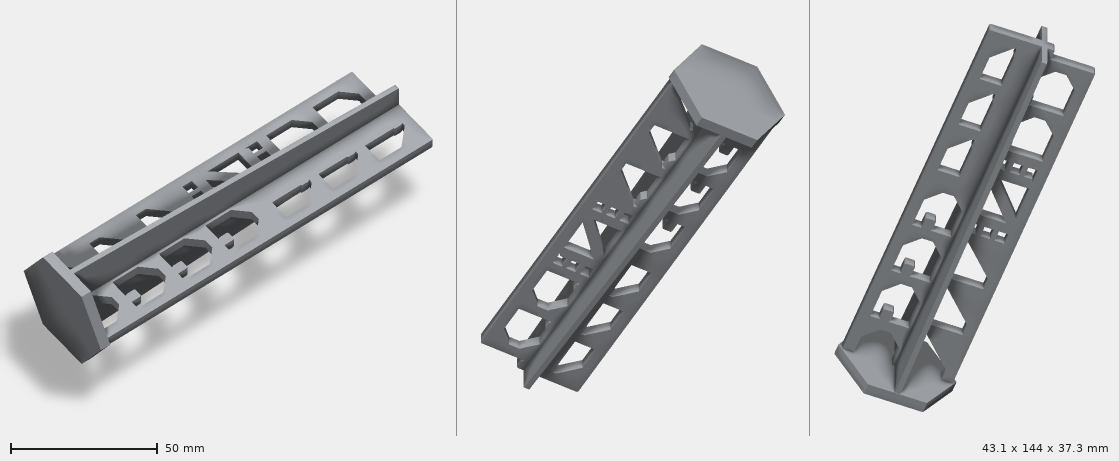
import cadquery as cq
import math

length = 144.0
cell = length / 36
pitch = 5 * cell

head_flats = 37.3
head_corners = head_flats * 2 / math.sqrt(3)
head_thickness = cell

wing_thickness = cell
wing_half_width = 5 * cell
left_wing_end = 35 * cell

fin_thickness = cell / 2
fin_tip_height = 22.0
fin_head_height = fin_tip_height + (head_flats - fin_tip_height) * (1 - head_thickness / length)

corner_cut = 0.5

window_inner = cell / 2
window_outer = 4 * cell
window_width = window_outer - window_inner
window_height = 4 * cell

tab_neck_height = 0.9
side_tab_reach = 3.7
side_tab_height = 3.6
floor_tab_left = 9.0
floor_tab_width = 3.7
floor_tab_height = 4.3

relief_width = 0.6
relief_depth = 1.2


def wing_prism(points):
    """Prism through the full wing thickness over an outline in X and Y."""
    outline = cq.Workplane("XY").workplane(offset=-wing_thickness / 2)
    return outline.polyline(points).close().extrude(wing_thickness)


def rectangle(x_min, x_max, y_min, y_max):
    return wing_prism([(x_min, y_min), (x_max, y_min), (x_max, y_max), (x_min, y_max)])


def arched_window(x_min, y_min, height):
    """Window with both far corners cut off at 45 degrees."""
    shoulder = 1.25 * cell
    x_max = x_min + window_width
    y_max = y_min + height
    return wing_prism([
        (x_min, y_min),
        (x_max, y_min),
        (x_max, y_max - shoulder),
        (x_max - shoulder, y_max),
        (x_min + shoulder, y_max),
        (x_min, y_max - shoulder),
    ])


def ramp_window(x_straight, x_ramp, y_min, height, ramp_start):
    """Window with one 45 degree side, cutting the corner at x_ramp."""
    y_max = y_min + height
    ramp_size = height - ramp_start
    x_top = x_ramp + math.copysign(ramp_size, x_straight - x_ramp)
    return wing_prism([
        (x_straight, y_min),
        (x_ramp, y_min),
        (x_ramp, y_min + ramp_start),
        (x_top, y_max),
        (x_straight, y_max),
    ])


def wing(side, y_end):
    """One wing, on the side given by the sign of X, with its outer tip corner cut."""
    x_edge = side * wing_half_width
    return wing_prism([
        (0, 0),
        (x_edge, 0),
        (x_edge, y_end - corner_cut),
        (x_edge - side * corner_cut, y_end),
        (0, y_end),
    ])


def side_tab(y_root, direction):
    """Tab beside the fin, growing from y_root along Y with a sloped end."""
    y_neck = y_root + direction * tab_neck_height
    y_shoulder = y_root + direction * side_tab_height
    y_end = y_shoulder + direction * (side_tab_reach - window_inner)
    return wing_prism([
        (0, y_root),
        (-side_tab_reach + corner_cut, y_root),
        (-side_tab_reach, y_neck),
        (-side_tab_reach, y_shoulder),
        (-window_inner, y_end),
        (0, y_end),
    ])


def floor_tab(y_root):
    """Upright tab on a crossbar of the right wing."""
    x_right = floor_tab_left + floor_tab_width
    y_top = y_root + floor_tab_height
    return wing_prism([
        (floor_tab_left + corner_cut, y_root),
        (x_right, y_root),
        (x_right, y_top - corner_cut),
        (x_right - corner_cut, y_top),
        (floor_tab_left + corner_cut, y_top),
        (floor_tab_left, y_top - corner_cut),
        (floor_tab_left, y_root + tab_neck_height),
    ])


def corner_relief(x_edge, y_edge, inward):
    """V notch running down from a window's lower corner; inward is its sign in X."""
    return wing_prism([
        (x_edge, y_edge),
        (x_edge + inward * relief_width, y_edge),
        (x_edge, y_edge - relief_depth),
    ])


def make_fin():
    """Tapered fin standing across the wings, with its tip corners cut."""
    fin_outline = [
        (head_thickness, -fin_head_height / 2),
        (length - corner_cut, -fin_tip_height / 2),
        (length, -fin_tip_height / 2 + corner_cut),
        (length, fin_tip_height / 2 - corner_cut),
        (length - corner_cut, fin_tip_height / 2),
        (head_thickness, fin_head_height / 2),
    ]
    return cq.Workplane("YZ").polyline(fin_outline).close().extrude(fin_thickness / 2, both=True)


def make_body():
    head = cq.Workplane("XZ").polygon(6, head_corners).extrude(-head_thickness)
    return head.union(wing(-1, left_wing_end)).union(wing(1, length)).union(make_fin())


def cut_left_ramps(body):
    """Three ramped windows near the head, each with a tab hanging from its far edge."""
    ramp_start = 1.1 * cell
    for index in range(3):
        y_min = head_thickness + index * pitch
        y_max = y_min + window_height
        window = ramp_window(-window_inner, -window_outer, y_min, window_height, ramp_start)
        body = body.cut(window.cut(side_tab(y_max, -1)))
    return body


def cut_left_arches(body):
    """Two arched windows near the tip, with tabs on their near edges."""
    for y_min in (25 * cell, 30 * cell):
        window = arched_window(-window_outer, y_min, window_height)
        body = body.cut(window.cut(side_tab(y_min, 1)))
    return body


def cut_left_lattice(body):
    """Two rows of small holes around a window crossed by a diagonal brace."""
    holes_per_row = 3
    hole_width = window_width / 4
    hole_spacing = (window_width - hole_width) / (holes_per_row - 1)
    near_row = 16 * cell
    far_row = 23 * cell
    for y_min in (near_row, far_row):
        for index in range(holes_per_row):
            x_min = -window_outer + index * hole_spacing
            body = body.cut(rectangle(x_min, x_min + hole_width, y_min, y_min + cell))

    brace_width = 3.7
    brace_start = 18 * cell
    brace_end = brace_start + window_height
    diagonal = math.hypot(window_width, window_height)
    leg_x = window_width - brace_width / 2 * diagonal / window_height
    leg_y = leg_x * window_height / window_width
    far_triangle = wing_prism([
        (-window_outer, brace_end),
        (-window_outer, brace_end - leg_y),
        (-window_outer + leg_x, brace_end),
    ])
    near_triangle = wing_prism([
        (-window_inner, brace_start),
        (-window_inner, brace_start + leg_y),
        (-window_inner - leg_x, brace_start),
    ])
    body = body.cut(far_triangle).cut(near_triangle)

    body = body.cut(corner_relief(-window_outer, far_row, 1))
    body = body.cut(corner_relief(-window_inner, far_row, -1))
    return body.cut(corner_relief(-window_inner, brace_start, -1))


def cut_right_arches(body):
    """Four arched windows; all but the one at the head have a tab on the near edge."""
    body = body.cut(arched_window(window_inner, head_thickness, 3 * cell))
    for index in range(1, 4):
        y_min = index * pitch
        window = arched_window(window_inner, y_min, window_height)
        body = body.cut(window.cut(floor_tab(y_min)))
    return body


def cut_right_ramps(body):
    """Three narrow ramped windows near the tip, stepped in at the far inner corner."""
    x_inner = 2 * cell
    ramp_start = 2.35 * cell
    x_step = x_inner + corner_cut
    for index in range(3):
        y_min = 21 * cell + index * pitch
        y_max = y_min + window_height
        window = ramp_window(x_inner, window_outer, y_min, window_height, ramp_start)
        step = wing_prism([
            (x_inner, y_max),
            (x_step, y_max - tab_neck_height),
            (x_step, y_max - side_tab_height),
            (x_inner, y_max - side_tab_height),
        ])
        body = body.cut(window.cut(step))
    return body


def add_tip_tab(body):
    """Tab carrying on beside the fin past the end of the left wing."""
    tab = wing_prism([
        (0, left_wing_end),
        (-side_tab_reach + corner_cut, left_wing_end),
        (-side_tab_reach, left_wing_end + tab_neck_height),
        (-side_tab_reach, length - corner_cut),
        (-side_tab_reach + corner_cut, length),
        (0, length),
    ])
    return body.union(tab)


result = make_body()
result = cut_left_ramps(result)
result = cut_left_arches(result)
result = cut_left_lattice(result)
result = cut_right_arches(result)
result = cut_right_ramps(result)
result = add_tip_tab(result)